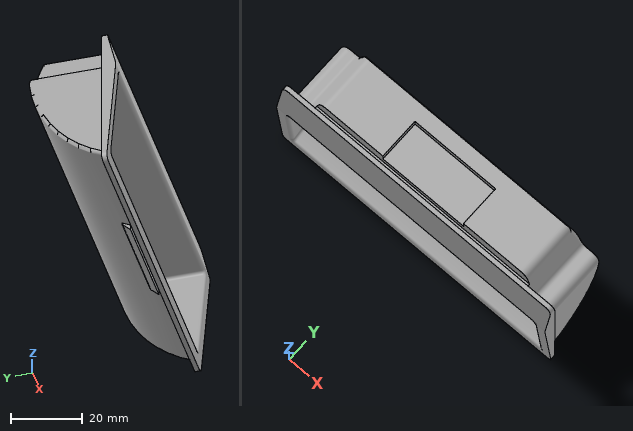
import cadquery as cq
import math

FLANGE_WIDTH = 100.0
FLANGE_HEIGHT = 45.0
FLANGE_CORNER_RADIUS = 2.0
EDGE_THICKNESS = 1.5
RIDGE_THICKNESS = 4.2
RIDGE_Z = 33.3
RIDGE_RADIUS = 5.0

TOTAL_HEIGHT = 48.0
BODY_DEPTH = 21.85
BODY_WIDTH = 96.0
SHOULDER_Z = 35.65
SHOULDER_RADIUS = 3.0
BLOCK_TOP_WIDTH = 76.6
BLOCK_SIDE_ANGLE = 15.0
BLOCK_TOP_RADIUS = 3.0
BLOCK_FOOT_RADIUS = 2.0
BACK_RADIUS = 36.0
BACK_AXIS_Y = BODY_DEPTH - BACK_RADIUS
BACK_AXIS_Z = 36.0
BACK_EDGE_RADIUS = 1.0

WALL = 2.0
CAVITY_WIDTH = BODY_WIDTH - 2 * WALL
CAVITY_TOP_Z = 32.8
CAVITY_END_RADIUS = 1.0
MOUTH_RADIUS = 1.1

SLOT_GAP = 1.15
SLOT_FLOOR_Z = 43.1
POCKET_WIDTH = 30.0
POCKET_BACK_Y = 14.75
POCKET_DEPTH = 2.5
CATCH_WIDTH = POCKET_WIDTH
CATCH_TIP_Z = 1.75
CATCH_REAR_Y = 3.6
CATCH_REAR_Z = 4.1
CATCH_ROOT_Z = 6.0


def box(width, y_range, z_range):
    """Box centred on X between the given Y and Z limits."""
    depth = y_range[1] - y_range[0]
    height = z_range[1] - z_range[0]
    corner = (-width / 2, y_range[0], z_range[0])
    return cq.Workplane("XY").box(width, depth, height, centered=False).translate(corner)


def back_cylinder(radius, width):
    """Cylinder along X, centred on X, around the axis of the curved back."""
    return (
        cq.Workplane("YZ")
        .center(BACK_AXIS_Y, BACK_AXIS_Z)
        .circle(radius)
        .extrude(width / 2, both=True)
    )


def make_flange():
    profile = [
        (0, 0),
        (-EDGE_THICKNESS, 0),
        (-RIDGE_THICKNESS, RIDGE_Z),
        (-EDGE_THICKNESS, FLANGE_HEIGHT),
        (0, FLANGE_HEIGHT),
    ]
    wedge = cq.Workplane("YZ").polyline(profile).close().extrude(FLANGE_WIDTH / 2, both=True)
    ridge = cq.selectors.NearestToPointSelector((0, -RIDGE_THICKNESS, RIDGE_Z))
    wedge = wedge.edges(ridge).fillet(RIDGE_RADIUS)
    outline = (
        box(FLANGE_WIDTH, (-RIDGE_THICKNESS, 0), (0, FLANGE_HEIGHT))
        .edges("|Y")
        .fillet(FLANGE_CORNER_RADIUS)
    )
    return wedge.intersect(outline)


def block_foot_half():
    """Half width of the block where its leaning sides meet the shoulders."""
    lean = math.tan(math.radians(BLOCK_SIDE_ANGLE))
    return BLOCK_TOP_WIDTH / 2 + (TOTAL_HEIGHT - SHOULDER_Z) * lean


def shell_prism():
    """Stepped front outline of the shell, extruded to the full depth with sharp corners."""
    lower = box(BODY_WIDTH, (0, BODY_DEPTH), (0, SHOULDER_Z))
    foot_half = block_foot_half()
    block_half = BLOCK_TOP_WIDTH / 2
    block = (
        cq.Workplane("XZ")
        .moveTo(-foot_half, SHOULDER_Z)
        .lineTo(-block_half, TOTAL_HEIGHT)
        .lineTo(block_half, TOTAL_HEIGHT)
        .lineTo(foot_half, SHOULDER_Z)
        .close()
        .extrude(-BODY_DEPTH)
    )
    return lower.union(block)


def round_corner_pair(prism, x, z, radius):
    """Round the two mirrored edges along Y that run through (+x, z) and (-x, z)."""
    for side in (-1, 1):
        edge = cq.selectors.NearestToPointSelector((side * x, BODY_DEPTH / 2, z))
        prism = prism.edges(edge).fillet(radius)
    return prism


def make_shell():
    prism = shell_prism()
    prism = round_corner_pair(prism, BODY_WIDTH / 2, SHOULDER_Z, SHOULDER_RADIUS)
    prism = round_corner_pair(prism, block_foot_half(), SHOULDER_Z, BLOCK_FOOT_RADIUS)
    shell = prism.intersect(back_cylinder(BACK_RADIUS, FLANGE_WIDTH))
    shell = shell.faces(">Y").edges("not |X").fillet(BACK_EDGE_RADIUS)
    rounded_top = round_corner_pair(prism, BLOCK_TOP_WIDTH / 2, TOTAL_HEIGHT, BLOCK_TOP_RADIUS)
    return shell.intersect(rounded_top)


def make_cavity():
    envelope = box(CAVITY_WIDTH, (-2 * RIDGE_THICKNESS, BODY_DEPTH), (0, CAVITY_TOP_Z))
    cavity = back_cylinder(BACK_RADIUS - WALL, CAVITY_WIDTH).intersect(envelope)
    end_edges = cavity.faces("<X or >X").edges("not <Y")
    return cavity.newObject(end_edges.vals()).fillet(CAVITY_END_RADIUS)


def make_catch():
    profile = [
        (SLOT_GAP, CATCH_ROOT_Z),
        (SLOT_GAP, CATCH_TIP_Z),
        (CATCH_REAR_Y, CATCH_REAR_Z),
        (CATCH_REAR_Y, CATCH_ROOT_Z),
    ]
    catch = cq.Workplane("YZ").polyline(profile).close().extrude(CATCH_WIDTH / 2, both=True)
    return catch.cut(back_cylinder(BACK_RADIUS - WALL / 2, CATCH_WIDTH))


def round_mouth(part):
    """Round the rim where the cavity opens through the front of the flange."""
    margin = WALL / 2
    rim_box = cq.selectors.BoxSelector(
        (-CAVITY_WIDTH / 2 - margin, -RIDGE_THICKNESS - margin, EDGE_THICKNESS),
        (CAVITY_WIDTH / 2 + margin, -EDGE_THICKNESS, CAVITY_TOP_Z + margin),
    )
    return part.edges(rim_box).fillet(MOUTH_RADIUS)


slot = box(FLANGE_WIDTH, (0, SLOT_GAP), (SLOT_FLOOR_Z, TOTAL_HEIGHT))
pocket = box(POCKET_WIDTH, (0, POCKET_BACK_Y), (TOTAL_HEIGHT - POCKET_DEPTH, TOTAL_HEIGHT))
shell = make_shell().cut(slot).cut(pocket)
body = make_flange().union(shell).union(make_catch()).cut(make_cavity())
result = round_mouth(body)